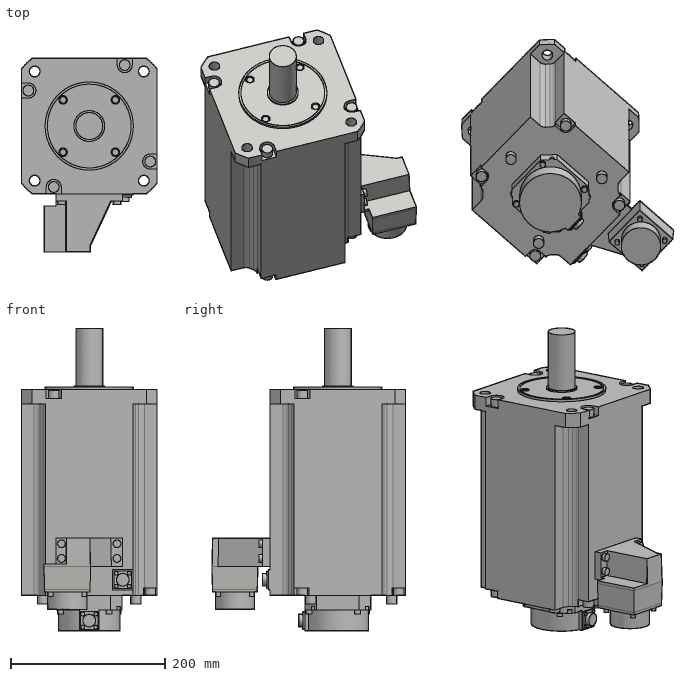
import cadquery as cq
import math

SIDE = 176.0
HALF_SIDE = SIDE / 2

FLANGE_THICKNESS = 19.0
FLANGE_CORNER_RADIUS = 115.0
BODY_END_Z = -267.0
NOTCH_EDGE = 57.0
NOTCH_CHAMFER = 10.0
NOTCH_FILLET = 10.5
MOUNT_HOLE_DIAMETER = 13.5
MOUNT_CIRCLE_DIAMETER = 200.0

PILOT_DIAMETER = 114.3
PILOT_HEIGHT = 3.0
PILOT_RECESS_DIAMETER = 108.6
PILOT_RECESS_DEPTH = 0.5
COLLAR_DIAMETER = 40.0
COLLAR_TOP_Z = 4.2
SHAFT_DIAMETER = 35.0
SHAFT_END_Z = 79.0
PILOT_SCREW_CIRCLE_RADIUS = 48.0
PILOT_SCREW_BORE_DIAMETER = 11.0
PILOT_SCREW_HEAD_DIAMETER = 8.5
PILOT_SCREW_BORE_DEPTH = 6.0
PILOT_SCREW_HEAD_HEIGHT = 5.0

TIE_BOLT_INSET = 9.0
TIE_BOLT_OFFSET = -46.0
TIE_BOLT_DIAMETER = 14.0
FRONT_POCKET_WIDTH = 19.5
FRONT_POCKET_DEPTH = 11.6
FRONT_BOLT_RECESS = 1.5
REAR_POCKET_WIDTH = 17.6
REAR_POCKET_DEPTH = 9.6

REAR_BOLT_COUNT = 3
REAR_BOLT_CIRCLE_RADIUS = 69.7
REAR_BOLT_DIAMETER = 13.5
REAR_BOLT_HEIGHT = 11.5

ENCODER_PLATE_SIDE = 85.4
ENCODER_PLATE_CHAMFER = 15.2
ENCODER_PLATE_END_Z = -286.2
ENCODER_DIAMETER = 80.0
ENCODER_END_Z = -313.0
ENCODER_PAD_WIDTH = 25.0
ENCODER_PLUG_Z = -299.7
ENCODER_BOLT_X = 37.3
ENCODER_BOLT_Y = 25.6
ENCODER_BOLT_DIAMETER = 7.5
ENCODER_BOLT_HEIGHT = 4.7
ENCODER_PIN_X = 37.0
ENCODER_PIN_Y = 31.2
ENCODER_PIN_DIAMETER = 6.4
ENCODER_PIN_HEIGHT = 4.8

PLUG_SIDE = 23.0
PLUG_PLATE_THICKNESS = 2.2
PLUG_DIAMETER = 16.4
PLUG_LENGTH = 8.2
PLUG_SCREW_OFFSET = 8.5
PLUG_SCREW_DIAMETER = 5.0
PLUG_SCREW_HEIGHT = 0.8
SIDE_PLUG_BASE_SIDE = 27.0
SIDE_PLUG_BASE_THICKNESS = 1.6
SIDE_PLUG_X = 43.5
SIDE_PLUG_Z = -246.8

HOUSING_TOP_Z = -193.0
HOUSING_SPLIT_Z = -229.7
HOUSING_LEDGE_Z = -226.1
HOUSING_END_Y = -163.31
HOUSING_DRAFT = 1.5
HOUSING_PLATE_HALF_WIDTH = 43.4
HOUSING_PLATE_Y = -97.3
HOUSING_LEFT_X = -29.6
HOUSING_SLOPE_START_X = 27.8
HOUSING_SLOPE_END_Y = -154.8
HOUSING_BOLT_X = 36.0
HOUSING_BOLT_Z = (-200.1, -219.2)
HOUSING_BOLT_DIAMETER = 10.0
HOUSING_BOLT_HEIGHT = 4.7
BASE_LEFT_X = -58.6
BASE_RIGHT_X = 1.8
BASE_BACK_Y = -103.4
BASE_LID_Z = -259.2
BASE_END_Z = -262.6
SOCKET_X = -28.4
SOCKET_Y = -133.3
SOCKET_DIAMETER = 51.0
SOCKET_END_Z = -285.2
SOCKET_SCREW_OFFSET = 21.8
SOCKET_SCREW_DIAMETER = 6.0
SOCKET_SCREW_HEIGHT = 6.0


def box(x_min, x_max, y_min, y_max, z_min, z_max):
    size = (x_max - x_min, y_max - y_min, z_max - z_min)
    return cq.Workplane("XY").box(*size, centered=False).translate((x_min, y_min, z_min))


def upright_cylinders(points, diameter, z_min, z_max):
    plane = cq.Workplane("XY").workplane(offset=z_min)
    return plane.pushPoints(points).circle(diameter / 2).extrude(z_max - z_min)


def front_cylinders(points, diameter, y_start, length):
    """Cylinders at (x, z) points that stand out from y_start toward -Y."""
    plane = cq.Workplane("XZ").workplane(offset=-y_start)
    return plane.pushPoints(points).circle(diameter / 2).extrude(length)


def square_points(offset):
    return [(x, y) for x in (-offset, offset) for y in (-offset, offset)]


def quarter_turns(x, y):
    return [(x, y), (-y, x), (-x, -y), (y, -x)]


def make_body():
    body = box(-HALF_SIDE, HALF_SIDE, -HALF_SIDE, HALF_SIDE, BODY_END_Z, 0)
    corner_round = upright_cylinders([(0, 0)], 2 * FLANGE_CORNER_RADIUS, BODY_END_Z, 0)
    body = body.intersect(corner_round)

    chamfer_end = NOTCH_EDGE + NOTCH_CHAMFER
    tangent_length = NOTCH_FILLET * math.tan(math.radians(45) / 2)
    wall_tangent = chamfer_end + tangent_length
    slant_tangent_far = chamfer_end - tangent_length * math.sqrt(0.5)
    slant_tangent_near = NOTCH_EDGE + tangent_length * math.sqrt(0.5)
    notch = (
        cq.Workplane("XY")
        .workplane(offset=BODY_END_Z)
        .moveTo(SIDE, NOTCH_EDGE)
        .lineTo(wall_tangent, NOTCH_EDGE)
        .tangentArcPoint((slant_tangent_far, slant_tangent_near), relative=False)
        .lineTo(slant_tangent_near, slant_tangent_far)
        .tangentArcPoint((NOTCH_EDGE, wall_tangent), relative=False)
        .lineTo(NOTCH_EDGE, SIDE)
        .lineTo(SIDE, SIDE)
        .close()
        .extrude(-BODY_END_Z - FLANGE_THICKNESS)
    )
    for turn in range(4):
        body = body.cut(notch.rotate((0, 0, 0), (0, 0, 1), 90 * turn))

    mount_offset = MOUNT_CIRCLE_DIAMETER / 2 * math.sqrt(0.5)
    holes = upright_cylinders(square_points(mount_offset), MOUNT_HOLE_DIAMETER, -FLANGE_THICKNESS, 0)
    return body.cut(holes)


def open_pocket(width, z_min, z_max):
    """U-shaped pocket around a tie bolt, open toward +X."""
    bolt_x = HALF_SIDE - TIE_BOLT_INSET
    half_width = width / 2
    round_end = upright_cylinders([(bolt_x, TIE_BOLT_OFFSET)], width, z_min, z_max)
    mouth = box(
        bolt_x, HALF_SIDE, TIE_BOLT_OFFSET - half_width, TIE_BOLT_OFFSET + half_width, z_min, z_max
    )
    return round_end.union(mouth)


def add_tie_bolts(body):
    bolt_center = [(HALF_SIDE - TIE_BOLT_INSET, TIE_BOLT_OFFSET)]
    front_pocket = open_pocket(FRONT_POCKET_WIDTH, -FRONT_POCKET_DEPTH, 0)
    rear_top_z = BODY_END_Z + REAR_POCKET_DEPTH
    rear_pocket = open_pocket(REAR_POCKET_WIDTH, BODY_END_Z, rear_top_z)
    break_out = box(
        HALF_SIDE - TIE_BOLT_INSET - REAR_POCKET_WIDTH / 2, HALF_SIDE,
        -NOTCH_EDGE, TIE_BOLT_OFFSET,
        BODY_END_Z, rear_top_z,
    )
    pockets = front_pocket.union(rear_pocket).union(break_out)
    bolt = upright_cylinders(bolt_center, TIE_BOLT_DIAMETER, BODY_END_Z, -FRONT_BOLT_RECESS)
    for turn in range(4):
        angle = 90 * turn
        body = body.cut(pockets.rotate((0, 0, 0), (0, 0, 1), angle))
        body = body.union(bolt.rotate((0, 0, 0), (0, 0, 1), angle))
    return body


def make_pilot_and_shaft():
    recess_z = PILOT_HEIGHT - PILOT_RECESS_DEPTH
    screw_points = square_points(PILOT_SCREW_CIRCLE_RADIUS * math.sqrt(0.5))
    bore_bottom = recess_z - PILOT_SCREW_BORE_DEPTH
    front = upright_cylinders([(0, 0)], PILOT_DIAMETER, bore_bottom, PILOT_HEIGHT)
    front = front.cut(upright_cylinders([(0, 0)], PILOT_RECESS_DIAMETER, recess_z, PILOT_HEIGHT))
    front = front.union(upright_cylinders([(0, 0)], COLLAR_DIAMETER, 0, COLLAR_TOP_Z))
    front = front.union(upright_cylinders([(0, 0)], SHAFT_DIAMETER, 0, SHAFT_END_Z))
    bores = upright_cylinders(screw_points, PILOT_SCREW_BORE_DIAMETER, bore_bottom, PILOT_HEIGHT)
    heads = upright_cylinders(
        screw_points, PILOT_SCREW_HEAD_DIAMETER, bore_bottom, bore_bottom + PILOT_SCREW_HEAD_HEIGHT
    )
    return front, bores.cut(heads)


def make_rear_bolts():
    points = []
    for index in range(REAR_BOLT_COUNT):
        angle = math.radians(90 + 360 * index / REAR_BOLT_COUNT)
        points.append((REAR_BOLT_CIRCLE_RADIUS * math.cos(angle), REAR_BOLT_CIRCLE_RADIUS * math.sin(angle)))
    return upright_cylinders(points, REAR_BOLT_DIAMETER, BODY_END_Z - REAR_BOLT_HEIGHT, BODY_END_Z)


def make_plug(x, y_start, z):
    """Square plate with a round socket and four corner screws, standing out toward -Y."""
    half_side = PLUG_SIDE / 2
    plate_y = y_start - PLUG_PLATE_THICKNESS
    plug = box(x - half_side, x + half_side, plate_y, y_start, z - half_side, z + half_side)
    plug = plug.union(front_cylinders([(x, z)], PLUG_DIAMETER, y_start, PLUG_LENGTH))
    screws = [(x + dx, z + dz) for dx, dz in square_points(PLUG_SCREW_OFFSET)]
    screw_length = PLUG_PLATE_THICKNESS + PLUG_SCREW_HEIGHT
    return plug.union(front_cylinders(screws, PLUG_SCREW_DIAMETER, y_start, screw_length))


def make_side_plug():
    half_side = SIDE_PLUG_BASE_SIDE / 2
    base_y = -HALF_SIDE - SIDE_PLUG_BASE_THICKNESS
    base = box(
        SIDE_PLUG_X - half_side, SIDE_PLUG_X + half_side,
        base_y, -HALF_SIDE,
        SIDE_PLUG_Z - half_side, SIDE_PLUG_Z + half_side,
    )
    return base.union(make_plug(SIDE_PLUG_X, base_y, SIDE_PLUG_Z))


def make_encoder():
    half_side = ENCODER_PLATE_SIDE / 2
    plate = box(-half_side, half_side, -half_side, half_side, ENCODER_PLATE_END_Z, BODY_END_Z)
    plate = plate.edges("|Z").chamfer(ENCODER_PLATE_CHAMFER)
    cover = upright_cylinders([(0, 0)], ENCODER_DIAMETER, ENCODER_END_Z, ENCODER_PLATE_END_Z)
    half_pad = ENCODER_PAD_WIDTH / 2
    pad = box(-half_pad, half_pad, -half_side, 0, ENCODER_END_Z, ENCODER_PLATE_END_Z)
    bolts = upright_cylinders(
        quarter_turns(ENCODER_BOLT_X, ENCODER_BOLT_Y),
        ENCODER_BOLT_DIAMETER,
        ENCODER_PLATE_END_Z - ENCODER_BOLT_HEIGHT,
        ENCODER_PLATE_END_Z,
    )
    pins = upright_cylinders(
        quarter_turns(ENCODER_PIN_X, -ENCODER_PIN_Y),
        ENCODER_PIN_DIAMETER,
        ENCODER_PLATE_END_Z,
        ENCODER_PLATE_END_Z + ENCODER_PIN_HEIGHT,
    )
    encoder = plate.union(cover).union(pad).union(bolts).union(pins)
    return encoder.union(make_plug(0, -half_side, ENCODER_PLUG_Z))


def make_housing():
    """Upper part of the power connector, widening downward by the casting draft."""
    height = HOUSING_TOP_Z - HOUSING_SPLIT_Z
    draft_offset = height * math.tan(math.radians(HOUSING_DRAFT))
    tip_y = HOUSING_END_Y + draft_offset
    tip_x = BASE_RIGHT_X - draft_offset
    flange = box(
        -HOUSING_PLATE_HALF_WIDTH, HOUSING_PLATE_HALF_WIDTH,
        HOUSING_PLATE_Y, -HALF_SIDE,
        HOUSING_SPLIT_Z, HOUSING_TOP_Z,
    )
    hood = (
        cq.Workplane("XY")
        .workplane(offset=HOUSING_TOP_Z)
        .polyline(
            [
                (HOUSING_LEFT_X, -HALF_SIDE - draft_offset),
                (HOUSING_LEFT_X, tip_y),
                (tip_x, tip_y),
                (tip_x, HOUSING_SLOPE_END_Y),
                (HOUSING_SLOPE_START_X, HOUSING_PLATE_Y),
                (HOUSING_SLOPE_START_X, -HALF_SIDE - draft_offset),
            ]
        )
        .close()
        .extrude(-height, taper=-HOUSING_DRAFT)
    )
    bolts = front_cylinders(
        [(x, z) for x in (-HOUSING_BOLT_X, HOUSING_BOLT_X) for z in HOUSING_BOLT_Z],
        HOUSING_BOLT_DIAMETER,
        HOUSING_PLATE_Y,
        HOUSING_BOLT_HEIGHT,
    )
    return flange.union(hood).union(bolts)


def drafted_base(z_end):
    """Block from the split plane to z_end, narrowing away from the split by the casting draft."""
    return (
        cq.Workplane("XY")
        .workplane(offset=HOUSING_SPLIT_Z)
        .moveTo((BASE_LEFT_X + BASE_RIGHT_X) / 2, (HOUSING_END_Y + BASE_BACK_Y) / 2)
        .rect(BASE_RIGHT_X - BASE_LEFT_X, BASE_BACK_Y - HOUSING_END_Y)
        .extrude(z_end - HOUSING_SPLIT_Z, taper=HOUSING_DRAFT)
    )


def make_base():
    """Lower part of the power connector: ledge, drafted block, lid and round socket."""
    ledge = drafted_base(HOUSING_LEDGE_Z)
    ledge_neck = box(
        -HOUSING_PLATE_HALF_WIDTH, HOUSING_LEFT_X,
        (BASE_BACK_Y + HOUSING_END_Y) / 2, HOUSING_PLATE_Y,
        HOUSING_SPLIT_Z, HOUSING_LEDGE_Z,
    )
    block = ledge.union(ledge_neck).union(drafted_base(BASE_LID_Z))
    lid = block.faces("<Z").wires().toPending().workplane().extrude(BASE_LID_Z - BASE_END_Z)
    socket = upright_cylinders([(SOCKET_X, SOCKET_Y)], SOCKET_DIAMETER, SOCKET_END_Z, BASE_END_Z)
    screws = upright_cylinders(
        [(SOCKET_X + dx, SOCKET_Y + dy) for dx, dy in square_points(SOCKET_SCREW_OFFSET)],
        SOCKET_SCREW_DIAMETER,
        BASE_END_Z - SOCKET_SCREW_HEIGHT,
        BASE_END_Z,
    )
    return lid.union(socket).union(screws)


pilot_and_shaft, pilot_screw_gaps = make_pilot_and_shaft()
result = add_tie_bolts(make_body()).union(pilot_and_shaft).cut(pilot_screw_gaps)
for component in (
    make_rear_bolts(),
    make_encoder(),
    make_side_plug(),
    make_housing(),
    make_base(),
):
    result = result.union(component)